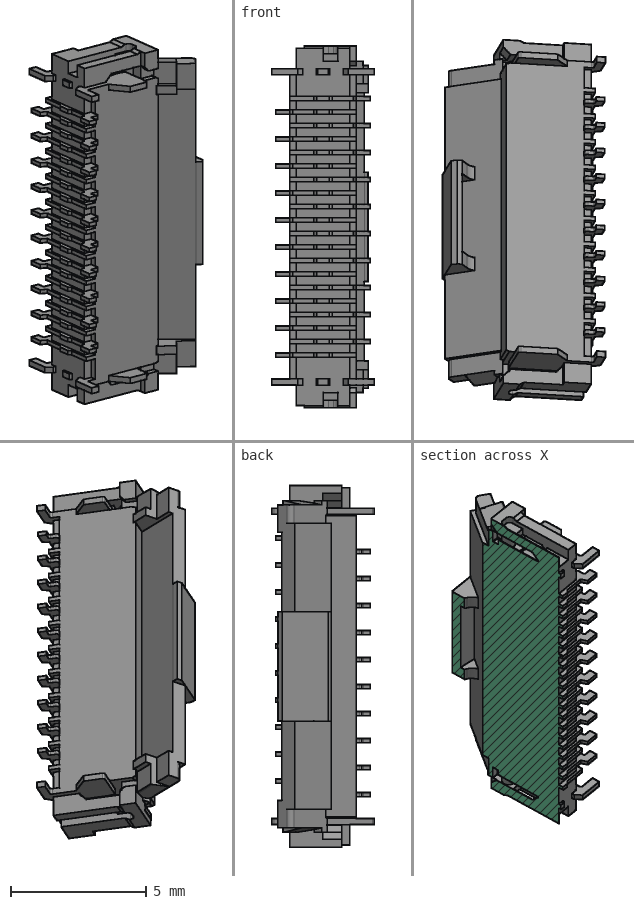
import cadquery as cq
import math


part_length = 13.4
half_length = part_length / 2
housing_half_width = 1.23
housing_top_y = 3.62
housing_bottom_y = 0.36
bottom_half_width = 0.99
side_notch_y = 0.67
core_half_length = 5.63
core_edge_chamfer_y = 0.12
core_edge_chamfer_z = 0.05

block_top_y = 1.38
rim_height = 0.08
block_end_z = half_length - rim_height
arm_left_x = -0.7
arm_inner_z = 6.14
arm_chamfer = 0.25
rim_slope_start_y = 2.84
rim_bottom_y = 3.0
rim_undercut = 0.17
rim_back_chamfer = 0.27

slot_left_x = 0.01
slot_width = 0.54
slot_right_x = slot_left_x + slot_width
slot_top_y = 3.22
slot_corner_radius = 0.17
slot_step_z = 6.42
slot_step_y = 2.56

hinge_bottom_y = 2.75
hinge_radius = 0.25
hinge_center_x = slot_left_x + hinge_radius
window_width = 0.5
window_bottom_y = 2.33
window_top_y = 2.41

foot_height = 0.32
contact_thickness = 0.16
contact_count = 20
contact_row_length = 9.5
contact_pitch = contact_row_length / (contact_count - 1)
contact_front_y = 0.25
contact_reach = 1.75
contact_shoulder_x = 1.43
contact_shoulder_y = 0.68
contact_bend_x = 1.13
contact_bend_run = 0.11
shoulder_radius = 0.1
contact_foot_radius = 0.05
bump_front_y = 0.16
bump_tip_half_width = 0.23
bump_root_half_width = 0.35

part_width = 3.8
tab_reach = part_width / 2
tab_thickness = 0.23
tab_left_top_y = 3.28
tab_right_top_y = 2.61
tab_wing_bottom_y = 1.81
tab_neck_y = 1.31
tab_foot_inner_x = 0.94
tab_foot_root_x = 0.75
tab_corner_radius = 0.08
tab_foot_radius = 0.08
nub_root_half_width = 0.24
nub_tip_half_width = 0.2
nub_front_y = 0.27

actuator_angle = 54.0
actuator_origin = (-0.31, housing_top_y)
actuator_root_u = -1.07
slab_thickness = 0.59
slab_half_length = 5.29
slab_end_u = 2.32
step_w = 0.17
end_inner_z = 4.96
lug_end_z = 5.98
lug_thickness = 0.78
lug_corner_radius = 0.19
side_arm_start_u = 0.38
side_arm_end_u = 1.6
side_arm_ridge_w = 0.99
side_arm_thickness = 1.06
rib_thickness = 1.3
actuator_bottom_y = 3.54

actuator_top_y = 5.5
handle_half_length = 2.02
handle_relief_half_length = 1.51
handle_relief_u = 1.69
handle_root_u = 1.1
handle_tip_x = -0.31
handle_lip_y = 5.1
handle_lip_height = 0.17
handle_lip_slope = 0.12
handle_neck_start = (0.07, 4.85)
handle_neck_middle = (0.23, 4.72)
handle_back_x = 1.51
handle_back_corner = (1.68, 5.37)


def box(x_min, x_max, y_min, y_max, z_min, z_max):
    """Axis-aligned block between the given limits."""
    block = cq.Workplane("XY").box(x_max - x_min, y_max - y_min, z_max - z_min, centered=False)
    return block.translate((x_min, y_min, z_min))


def plate(points, z_min, thickness):
    """Flat plate with an XY outline."""
    return cq.Workplane("XY", origin=(0, 0, z_min)).polyline(points).close().extrude(thickness)


def bar_along_x(section, x_min, x_max):
    """Straight bar between two X positions with a YZ cross-section."""
    return cq.Workplane("YZ", origin=(x_min, 0, 0)).polyline(section).close().extrude(x_max - x_min)


def both_ends(solid):
    """The solid together with its mirror image at the other end."""
    return solid.union(solid.mirror("XY"))


def housing_core():
    """Main housing body with notches along both lower sides."""
    core = box(
        -housing_half_width, housing_half_width,
        side_notch_y, housing_top_y,
        -core_half_length, core_half_length,
    )
    core = core.faces(">Y").edges("|X").chamfer(core_edge_chamfer_z, core_edge_chamfer_y)
    keel = box(
        -bottom_half_width, bottom_half_width,
        housing_bottom_y, side_notch_y,
        -core_half_length, core_half_length,
    )
    return core.union(keel)


def end_frame():
    """Frame at the +Z end: foot block, slotted latch arm and rim."""
    block = box(
        -bottom_half_width, bottom_half_width,
        housing_bottom_y, block_top_y,
        core_half_length, block_end_z,
    )
    arm_profile = [
        (block_top_y, arm_inner_z - arm_chamfer),
        (block_top_y + arm_chamfer, arm_inner_z),
        (housing_top_y, arm_inner_z),
        (housing_top_y, half_length),
        (rim_bottom_y, half_length),
        (rim_slope_start_y, block_end_z),
        (block_top_y, block_end_z),
    ]
    arm = bar_along_x(arm_profile, arm_left_x, bottom_half_width)
    overhang_profile = [
        (rim_bottom_y, half_length),
        (rim_bottom_y, arm_inner_z),
        (rim_bottom_y + rim_undercut, arm_inner_z - rim_undercut),
        (housing_top_y, arm_inner_z - rim_undercut),
        (housing_top_y, half_length),
    ]
    rim_overhang = bar_along_x(overhang_profile, bottom_half_width, housing_half_width)
    slot = box(
        slot_left_x, slot_right_x,
        housing_bottom_y, slot_top_y,
        arm_inner_z, half_length,
    )
    slot = slot.edges("|Z and >Y").fillet(slot_corner_radius)
    slot_behind_block = box(
        slot_left_x, slot_right_x,
        block_top_y, block_top_y + arm_chamfer,
        core_half_length, arm_inner_z,
    )
    step = box(
        slot_left_x, slot_right_x,
        slot_step_y, slot_top_y,
        arm_inner_z, slot_step_z,
    )
    back_corner = [
        (housing_top_y - rim_back_chamfer, arm_inner_z),
        (housing_top_y, arm_inner_z + rim_back_chamfer),
        (housing_top_y, arm_inner_z),
    ]
    back_chamfer = bar_along_x(back_corner, arm_left_x, slot_left_x)
    frame = block.union(arm).union(rim_overhang)
    frame = frame.cut(slot).cut(slot_behind_block).cut(back_chamfer)
    return frame.union(step).union(hinge_pin())


def hinge_pin():
    """Round pin with a web behind it, standing between the housing and the rim."""
    center_y = hinge_bottom_y + hinge_radius
    height = arm_inner_z - core_half_length
    pin = (
        cq.Workplane("XY", origin=(hinge_center_x, center_y, core_half_length))
        .circle(hinge_radius)
        .extrude(height)
    )
    web = box(
        hinge_center_x, bottom_half_width,
        center_y, housing_top_y,
        core_half_length, arm_inner_z,
    )
    return pin.union(web)


def tab(side, top_y, inner_x):
    """Hold-down tab; side is -1 for the left wing and +1 for the right."""
    outline = [
        (inner_x, top_y),
        (tab_reach, top_y),
        (tab_reach, tab_wing_bottom_y),
        (housing_half_width, tab_neck_y),
        (housing_half_width, foot_height),
        (tab_reach, foot_height),
        (tab_reach, 0),
        (tab_foot_inner_x, 0),
        (tab_foot_root_x, contact_front_y),
        (tab_foot_root_x, housing_bottom_y),
        (bottom_half_width, housing_bottom_y),
        (bottom_half_width, block_top_y),
        (inner_x, block_top_y),
    ]
    wing = plate([(side * x, y) for x, y in outline], core_half_length, tab_thickness)
    middle_z = core_half_length + tab_thickness / 2
    outer_edge = cq.selectors.NearestToPointSelector((side * tab_reach, top_y, middle_z))
    wing = wing.edges(outer_edge).fillet(tab_corner_radius)
    foot_edge = cq.selectors.NearestToPointSelector((side * housing_half_width, foot_height, middle_z))
    return wing.edges(foot_edge).fillet(tab_foot_radius)


def tab_nub():
    """Small raised pad on the solder side, level with the tabs."""
    outline = [
        (-nub_root_half_width, housing_bottom_y),
        (-nub_tip_half_width, nub_front_y),
        (nub_tip_half_width, nub_front_y),
        (nub_root_half_width, housing_bottom_y),
    ]
    return plate(outline, core_half_length, tab_thickness)


def contact(z, side):
    """Contact bar across the housing, with its solder foot on the given side."""
    outline = [
        (-housing_half_width, side_notch_y),
        (-housing_half_width, contact_front_y),
        (-bump_root_half_width, contact_front_y),
        (-bump_tip_half_width, bump_front_y),
        (bump_tip_half_width, bump_front_y),
        (bump_root_half_width, contact_front_y),
        (contact_bend_x, contact_front_y),
        (contact_bend_x + contact_bend_run, 0),
        (contact_reach, 0),
        (contact_reach, foot_height),
        (contact_shoulder_x, foot_height),
        (contact_shoulder_x, contact_shoulder_y),
        (housing_half_width, contact_shoulder_y),
        (housing_half_width, side_notch_y),
    ]
    z_min = z - contact_thickness / 2
    bar = plate([(side * x, y) for x, y in outline], z_min, contact_thickness)
    shoulder_edge = cq.selectors.NearestToPointSelector((side * contact_shoulder_x, contact_shoulder_y, z))
    bar = bar.edges(shoulder_edge).fillet(shoulder_radius)
    foot_edge = cq.selectors.NearestToPointSelector((side * contact_shoulder_x, foot_height, z))
    return bar.edges(foot_edge).fillet(contact_foot_radius)


def tilt(solid):
    """Turn a solid from the actuator frame (u along X, w along -Y) into its tilted place."""
    z_axis_start = (0, 0, 0)
    z_axis_end = (0, 0, 1)
    turned = solid.rotate(z_axis_start, z_axis_end, actuator_angle)
    return turned.translate((actuator_origin[0], actuator_origin[1], 0))


def actuator_point(u, w):
    """XY position of a point given in the actuator frame."""
    cosine = math.cos(math.radians(actuator_angle))
    sine = math.sin(math.radians(actuator_angle))
    return (
        actuator_origin[0] + u * cosine + w * sine,
        actuator_origin[1] + u * sine - w * cosine,
    )


def actuator_end():
    """Lug, side arm and rib at one end of the actuator."""
    lug = box(side_arm_start_u, slab_end_u, -lug_thickness, -step_w, end_inner_z, lug_end_z)
    lug = lug.edges("|Z and >X and >Y").fillet(lug_corner_radius)
    arm_root = box(
        actuator_root_u, side_arm_start_u,
        -side_arm_thickness, -step_w,
        end_inner_z, arm_inner_z,
    )
    arm_section = [
        (-step_w, end_inner_z),
        (-step_w, lug_end_z),
        (-side_arm_ridge_w, arm_inner_z),
        (-side_arm_thickness, arm_inner_z),
        (-side_arm_thickness, end_inner_z),
    ]
    arm = bar_along_x(arm_section, side_arm_start_u, side_arm_end_u)
    rib = box(
        actuator_root_u, side_arm_end_u,
        -rib_thickness, -step_w,
        end_inner_z, slab_half_length,
    )
    return tilt(lug.union(arm_root).union(arm).union(rib))


def actuator_handle():
    """Finger grip at the middle of the actuator, hollowed behind its lip."""
    grip = (
        cq.Workplane("XY", origin=(0, 0, -handle_half_length))
        .moveTo(handle_tip_x + handle_lip_slope, actuator_top_y)
        .lineTo(handle_back_x, actuator_top_y)
        .lineTo(*handle_back_corner)
        .lineTo(*actuator_point(slab_end_u, slab_thickness))
        .lineTo(*actuator_point(handle_root_u, slab_thickness))
        .lineTo(*actuator_point(handle_root_u, 0))
        .threePointArc(handle_neck_middle, handle_neck_start)
        .lineTo(handle_tip_x, handle_lip_y)
        .lineTo(handle_tip_x, handle_lip_y + handle_lip_height)
        .close()
        .extrude(2 * handle_half_length)
    )
    relief_outline = [
        (handle_tip_x, handle_lip_y),
        actuator_point(handle_relief_u, 0),
        actuator_point(0, 0),
    ]
    relief = plate(relief_outline, -handle_relief_half_length, 2 * handle_relief_half_length)
    return grip.cut(relief)


def actuator():
    """Whole tilted actuator, its root sunk slightly into the housing."""
    slab = tilt(box(
        actuator_root_u, slab_end_u,
        -slab_thickness, 0,
        -slab_half_length, slab_half_length,
    ))
    whole = actuator_handle().union(slab).union(both_ends(actuator_end()))
    above_root = box(
        -contact_reach, contact_reach,
        actuator_bottom_y, actuator_top_y,
        -half_length, half_length,
    )
    return whole.intersect(above_root)


housing = housing_core().union(both_ends(end_frame()))

left_tab = tab(-1, tab_left_top_y, -slot_left_x)
right_tab = tab(1, tab_right_top_y, slot_left_x + window_width)
result = housing.union(both_ends(left_tab.union(right_tab).union(tab_nub())))

first_contact_z = contact_row_length / 2
for index in range(contact_count):
    foot_side = 1 if index % 2 == 0 else -1
    result = result.union(contact(first_contact_z - index * contact_pitch, foot_side))

result = result.union(actuator())

window = box(
    slot_left_x, slot_left_x + window_width,
    window_bottom_y, window_top_y,
    -half_length, half_length,
)
result = result.cut(window)